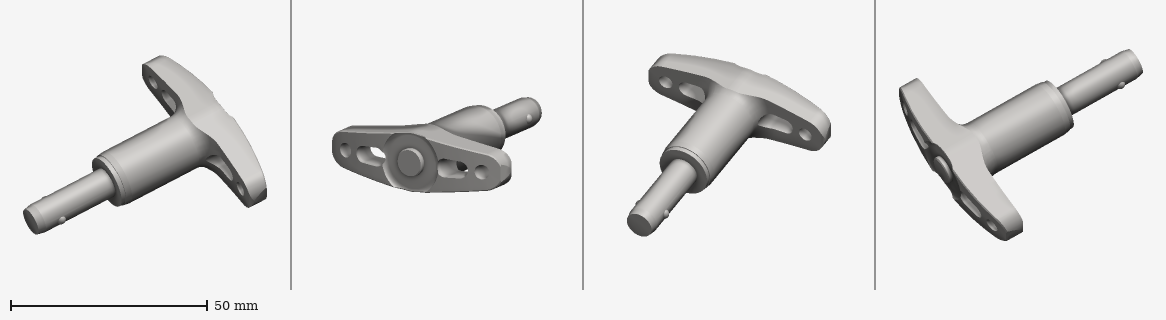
import cadquery as cq
import math


PIN_LENGTH = 23.1
PIN_DIAMETER = 8.0
PIN_TIP_DIAMETER = 7.2
PIN_TIP_LENGTH = 2.0
BALL_DIAMETER = 2.7
BALL_SPAN = 9.5
BALL_FROM_SHOULDER = 16.3
BUTTON_DIAMETER = 7.45
BUTTON_CHAMFER = 0.3
OVERALL_LENGTH = 59.0

SLEEVE_DIAMETER = 14.75
SHOULDER_DIAMETER = 13.8
LIP_DIAMETER = 14.3
SHOULDER_LENGTH = 1.25
LIP_LENGTH = 1.65
SLEEVE_LENGTH = 23.35
FLARE_RADIUS = 4.3

HANDLE_SPAN = 51.5
HANDLE_HEIGHT = 15.8
END_RADIUS = 4.95
TOP_SPAN = 50.25
CREST_Y = 35.5
CREST_X = 4.15
TOP_END_Y = 32.35
BOTTOM_END_Y = 27.15
UNDERSIDE_FLAT_HALF = 9.45
BOTTOM_CORNER_RADIUS = 1.1
TOP_EDGE_CHAMFER = 0.3

DISH_FLOOR_Y = 34.6
DISH_FLOOR_RADIUS = 7.1
DISH_RIM_RADIUS = 8.55

HOLE_DIAMETER = 3.85
HOLE_X = 20.35
SLOT_INNER_X = 10.2
SLOT_INNER_RADIUS = 2.5
SLOT_OUTER_X = 14.4
SLOT_OUTER_RADIUS = 2.25

FLATNESS = 0.01

button_top_y = OVERALL_LENGTH - PIN_LENGTH
sleeve_radius = SLEEVE_DIAMETER / 2
flare_outer_radius = sleeve_radius + FLARE_RADIUS
underside_y = SLEEVE_LENGTH + FLARE_RADIUS


def y_cylinder(diameter, y_start, y_end):
    """Cylinder on the Y axis between two Y positions."""
    return cq.Workplane("XZ", origin=(0, y_end, 0)).circle(diameter / 2).extrude(y_end - y_start)


def two_circle_outline(x1, r1, x2, r2, y_start, y_end):
    """Prism along Y around two circles on the X axis, joined by their common tangents."""
    direction = math.copysign(1, x2 - x1)
    sine = (r1 - r2) / abs(x2 - x1)
    cosine = math.sqrt(1 - sine**2)
    start = (x1 + direction * r1 * sine, r1 * cosine)
    end = (x2 + direction * r2 * sine, r2 * cosine)
    return (
        cq.Workplane("XZ", origin=(0, y_end, 0))
        .moveTo(*start)
        .lineTo(*end)
        .threePointArc((x2 + direction * r2, 0), (end[0], -end[1]))
        .lineTo(start[0], -start[1])
        .threePointArc((x1 - direction * r1, 0), start)
        .close()
        .extrude(y_end - y_start)
    )


def handle_plan():
    """Lozenge outline: a large centre circle tapering to a round end on each side."""
    end_x = HANDLE_SPAN / 2 - END_RADIUS
    arms = [
        two_circle_outline(0, HANDLE_HEIGHT / 2, side * end_x, END_RADIUS, 0, OVERALL_LENGTH)
        for side in (-1, 1)
    ]
    return arms[0].union(arms[1]).clean()


def handle_profile():
    """Side shape of the handle: arched top, sloping ends and underside."""
    half_span = HANDLE_SPAN / 2
    top_half = TOP_SPAN / 2
    drop = CREST_Y - TOP_END_Y
    reach = top_half - CREST_X
    arch_radius = (reach**2 + drop**2) / (2 * drop)
    middle_x = CREST_X + reach / 2
    middle_y = CREST_Y - arch_radius + math.sqrt(arch_radius**2 - (reach / 2) ** 2)
    right_half = (
        cq.Workplane("XY")
        .moveTo(0, underside_y)
        .lineTo(UNDERSIDE_FLAT_HALF, underside_y)
        .tangentArcPoint((half_span - BOTTOM_CORNER_RADIUS, BOTTOM_END_Y), relative=False)
        .tangentArcPoint((half_span, BOTTOM_END_Y + BOTTOM_CORNER_RADIUS), relative=False)
        .lineTo(top_half, TOP_END_Y)
        .threePointArc((middle_x, middle_y), (CREST_X, CREST_Y))
        .lineTo(0, CREST_Y)
        .close()
        .extrude(HANDLE_HEIGHT, both=True)
    )
    return right_half.union(right_half.mirror("YZ"))


def flare():
    """Concave trumpet that blends the sleeve into the underside of the handle."""
    bend = FLARE_RADIUS * math.sqrt(0.5)
    return (
        cq.Workplane("XY")
        .moveTo(0, SLEEVE_LENGTH)
        .lineTo(sleeve_radius, SLEEVE_LENGTH)
        .threePointArc(
            (flare_outer_radius - bend, SLEEVE_LENGTH + bend),
            (flare_outer_radius, underside_y),
        )
        .lineTo(0, underside_y)
        .close()
        .revolve(360, (0, 0, 0), (0, 1, 0))
    )


def arm_openings():
    """Tapered slot and round hole through each arm."""
    openings = cq.Workplane("XY")
    for side in (-1, 1):
        slot = two_circle_outline(
            side * SLOT_INNER_X, SLOT_INNER_RADIUS,
            side * SLOT_OUTER_X, SLOT_OUTER_RADIUS,
            SLEEVE_LENGTH, OVERALL_LENGTH,
        )
        hole = y_cylinder(HOLE_DIAMETER, SLEEVE_LENGTH, OVERALL_LENGTH)
        hole = hole.translate((side * HOLE_X, 0, 0))
        openings = openings.add(slot).add(hole)
    return openings.combine()


def dish():
    """Shallow bowl-sided recess around the button."""
    return (
        cq.Workplane("XY")
        .moveTo(0, DISH_FLOOR_Y)
        .lineTo(DISH_FLOOR_RADIUS, DISH_FLOOR_Y)
        .tangentArcPoint((DISH_RIM_RADIUS, CREST_Y), relative=False)
        .lineTo(DISH_RIM_RADIUS, OVERALL_LENGTH)
        .lineTo(0, OVERALL_LENGTH)
        .close()
        .revolve(360, (0, 0, 0), (0, 1, 0))
    )


def handle():
    """T-bar with dished, chamfered top, joined to the flare and pierced by the openings."""
    bar = handle_plan().intersect(handle_profile()).cut(dish())
    side_walls = bar.faces().filter(lambda face: abs(face.normalAt().y) < FLATNESS)
    top_edges = side_walls.edges().filter(lambda edge: edge.Center().y > TOP_END_Y)
    bar = top_edges.chamfer(TOP_EDGE_CHAMFER)
    return bar.union(flare().intersect(handle_plan())).cut(arm_openings())


def turned_body():
    """Pin, stepped shoulder and sleeve as one revolved profile."""
    pin_radius = PIN_DIAMETER / 2
    profile = [
        (0, -PIN_LENGTH),
        (PIN_TIP_DIAMETER / 2, -PIN_LENGTH),
        (pin_radius, PIN_TIP_LENGTH - PIN_LENGTH),
        (pin_radius, 0),
        (SHOULDER_DIAMETER / 2, 0),
        (SHOULDER_DIAMETER / 2, SHOULDER_LENGTH),
        (LIP_DIAMETER / 2, SHOULDER_LENGTH),
        (sleeve_radius, SHOULDER_LENGTH + LIP_LENGTH),
        (sleeve_radius, SLEEVE_LENGTH),
        (0, SLEEVE_LENGTH),
    ]
    return cq.Workplane("XY").polyline(profile).close().revolve(360, (0, 0, 0), (0, 1, 0))


def button():
    """Push button that stands proud of the dish."""
    return y_cylinder(BUTTON_DIAMETER, SLEEVE_LENGTH, button_top_y).faces(">Y").chamfer(BUTTON_CHAMFER)


def retaining_balls():
    """Pair of balls bulging from opposite sides of the pin."""
    offset = (BALL_SPAN - BALL_DIAMETER) / 2
    return (
        cq.Workplane("XY")
        .pushPoints([(-offset, -BALL_FROM_SHOULDER), (offset, -BALL_FROM_SHOULDER)])
        .sphere(BALL_DIAMETER / 2)
    )


result = turned_body().union(handle()).union(button()).union(retaining_balls())